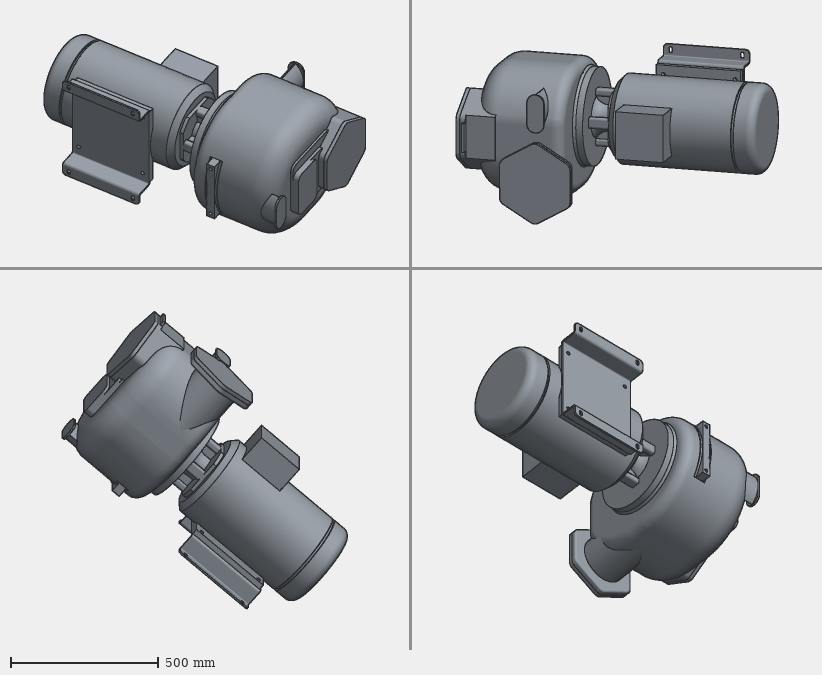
import cadquery as cq
import math


MOTOR_RADIUS = 156.0
MOTOR_LENGTH = 522.0
REAR_FILLET = 29.0
FRONT_CHAMFER = 21.0
GROOVE_START = 74.0
GROOVE_WIDTH = 9.0
GROOVE_DEPTH = 7.0
BOX_START = 298.0
BOX_LENGTH = 170.0
BOX_HEIGHT = 166.0
BOX_OUTER_Y = 233.0

BRACKET_START = 132.0
BRACKET_LENGTH = 305.0
PAD_SETBACK = 5.0
PAD_HEIGHT = 319.0
PAD_THICKNESS = 19.0
SHEET = 6.0
BEND_RADIUS = 4.0
PLATE_BACK_Y = -159.0
FOOT_Y = -230.0
WEB_Z = 171.0
LIP_Z = 213.0
LIP_CORNER_RADIUS = 15.0
HOLE_SPACING_X = 255.0
PLATE_HOLE_Z = 127.0
PLATE_HOLE_DIAMETER = 13.0
LIP_HOLE_Z = 193.0
SLOT_LENGTH = 20.0
SLOT_WIDTH = 12.0

COLLAR_LENGTH = 13.0
COLLAR_RADIUS = 116.0
COLLAR_HALF_WIDTH = 100.0
POST_WIDTH = 38.0
POST_DEPTH = 25.0
POST_FILLET = 8.0
WEB_THICKNESS = 22.0
HUB_RADIUS = 48.0
HUB_FLARE_RADIUS = 73.0
FLARE_LENGTH = 45.0
DISC_START = 604.0
DISC_THICKNESS = 24.0
DISC_RADIUS = 170.0
DISC_FLARE = 5.0

CASING_START = 638.0
CASING_END = 956.0
CASING_TOP = 200.0
CASING_BOTTOM = -251.0
CASING_FRONT = -225.0
CASING_BACK = 295.0
CASING_MID_Z = -15.0
TOP_FLAT_FRONT = -10.0
TOP_FLAT_BACK = 87.0
BOTTOM_FLAT_FRONT = 12.0
BACK_TOP_CORNER_RADIUS = 81.0
BACK_LOW_CORNER_RADIUS = 121.0
MOTOR_SIDE_FILLET = 37.0
FAR_SIDE_FILLET = 82.0

HEX_FLATS = 250.0
HEX_CORNER_RADIUS = 27.0
HEX_FLANGE = 19.0
GASKET_GAP = 0.5
COUNTER_FLANGE = 13.0
OUTLET_X = 723.0
OUTLET_Z = -165.0
OUTLET_RADIUS = OUTLET_X - CASING_START
OUTLET_FILLET = 7.0
OUTLET_END_Y = 335.0
SUCTION_Y = 182.0
SUCTION_Z = -26.0
SUCTION_END_X = 1011.0
NECK_BACK_Y = 299.0
TAB_END_Y = 323.0
TAB_HEIGHT = 101.0
TAB_THICKNESS = 9.0

PORT_WIDTH = 61.0
PORT_HEIGHT = 133.0
BACK_PORT_Z = 79.0
BACK_PORT_END_Y = 330.0
SIDE_PORT_Y = -184.0
SIDE_PORT_END_X = 977.0
PORT_LIP = 7.0

COVER_FRONT_Y = -90.0
COVER_BACK_Y = 94.0
COVER_LOW_Z = -115.0
COVER_TOP_Z = 67.0
COVER_END_X = 977.0
COVER_CORNER_RADIUS = 24.0
COVER_ROOT = 10.0
SEAT_BACK_Y = 150.0
SEAT_TOP_Z = 100.0
SEAT_END_X = 965.0
CLAMP_BACK_Y = 30.0
CLAMP_END_X = 988.0

FOOT_WIDTH = 31.0
FOOT_HEIGHT = 236.0
FOOT_MID_Z = -15.0
FOOT_SHOULDER = 8.0
FOOT_SHOULDER_RISE = 3.0
FOOT_DEPTH = 121.0
FOOT_HOLE_SPACING = 202.0
FOOT_HOLE_DIAMETER = 12.0
FOOT_HOLE_DEPTH = 15.0


def box(x0, x1, y0, y1, z0, z1):
    return cq.Workplane("XY").box(x1 - x0, y1 - y0, z1 - z0, centered=False).translate((x0, y0, z0))


def along_x(x):
    """Workplane at x whose local axes are Y and Z, with +X as its normal."""
    return cq.Workplane("YZ", origin=(x, 0, 0))


def along_y(y):
    """Workplane at y whose local axes are Z and X, with +Y as its normal."""
    return cq.Workplane("ZX", origin=(0, y, 0))


def make_motor():
    barrel = along_x(0).circle(MOTOR_RADIUS).extrude(MOTOR_LENGTH)
    barrel = barrel.faces("<X").edges().fillet(REAR_FILLET)
    barrel = barrel.faces(">X").edges().chamfer(FRONT_CHAMFER)
    groove = (
        along_x(GROOVE_START).circle(MOTOR_RADIUS + 10).circle(MOTOR_RADIUS - GROOVE_DEPTH).extrude(GROOVE_WIDTH)
    )
    half_box = BOX_HEIGHT / 2
    terminal_box = box(BOX_START, BOX_START + BOX_LENGTH, 0, BOX_OUTER_Y, -half_box, half_box)
    half_pad = PAD_HEIGHT / 2
    pad = box(
        BRACKET_START + PAD_SETBACK, BRACKET_START + BRACKET_LENGTH,
        PLATE_BACK_Y, PLATE_BACK_Y + PAD_THICKNESS, -half_pad, half_pad,
    )
    return barrel.cut(groove).union(terminal_box).union(pad)


def make_bracket():
    plate_y = PLATE_BACK_Y - SHEET
    web_inner = WEB_Z - SHEET
    lip_y = FOOT_Y + SHEET
    half_outline = [
        (PLATE_BACK_Y, 0), (PLATE_BACK_Y, WEB_Z), (lip_y, WEB_Z), (lip_y, LIP_Z),
        (FOOT_Y, LIP_Z), (FOOT_Y, web_inner), (plate_y, web_inner), (plate_y, 0),
    ]
    half = along_x(BRACKET_START).polyline(half_outline).close().extrude(BRACKET_LENGTH)

    def bend(part, y, z, radius):
        at = cq.selectors.BoxSelector((-10, y - 1.0, z - 1.0), (CASING_START, y + 1.0, z + 1.0))
        return part.edges(at).fillet(radius)

    for y, z in [(plate_y, web_inner), (lip_y, WEB_Z)]:
        half = bend(half, y, z, BEND_RADIUS)
    for y, z in [(PLATE_BACK_Y, WEB_Z), (FOOT_Y, web_inner)]:
        half = bend(half, y, z, BEND_RADIUS + SHEET)
    half = half.faces(">Z").edges("|Y").fillet(LIP_CORNER_RADIUS)
    return half.union(half.mirror("XY"))


def make_motor_unit():
    """Motor and its mounting bracket as one solid, with the bolt holes cut through bracket and pad."""
    unit = make_motor().union(make_bracket())
    plate_y = PLATE_BACK_Y - SHEET
    hole_depth = SHEET + PAD_THICKNESS
    mid_x = BRACKET_START + BRACKET_LENGTH / 2
    for x in (mid_x - HOLE_SPACING_X / 2, mid_x + HOLE_SPACING_X / 2):
        for side in (-1, 1):
            plate_hole = along_y(plate_y).center(side * PLATE_HOLE_Z, x).circle(PLATE_HOLE_DIAMETER / 2)
            slot = along_y(FOOT_Y).center(side * LIP_HOLE_Z, x).slot2D(SLOT_LENGTH, SLOT_WIDTH)
            unit = unit.cut(plate_hole.extrude(hole_depth)).cut(slot.extrude(SHEET))
    return unit


def hexagon(plane, u, v, angle, length):
    """Hexagonal prism with rounded corners, turned by `angle` about its own axis."""
    blank = plane.center(u, v).transformed(rotate=(0, 0, angle)).polygon(6, HEX_FLATS / math.cos(math.pi / 6))
    prism = blank.extrude(length)
    axis = "|X" if abs(plane.plane.zDir.x) > 0.5 else "|Y"
    return prism.edges(axis).fillet(HEX_CORNER_RADIUS)


def outlet_hexagon(y, length):
    return hexagon(along_y(y), OUTLET_Z, OUTLET_X, 0, length)


def suction_hexagon(x, length):
    return hexagon(along_x(x), SUCTION_Y, SUCTION_Z, 90, length)


def make_casing():
    front_top = CASING_TOP - CASING_MID_Z
    front_low = CASING_MID_Z - CASING_BOTTOM
    back_reach = CASING_BACK - TOP_FLAT_BACK
    top_rise = math.sqrt(front_top**2 - back_reach**2)
    low_drop = math.sqrt(front_low**2 - back_reach**2)
    c45 = math.sqrt(0.5)
    mid_x = (CASING_START + CASING_END) / 2
    outline = (
        along_x(CASING_START)
        .moveTo(TOP_FLAT_BACK, CASING_TOP)
        .lineTo(TOP_FLAT_FRONT, CASING_TOP)
        .threePointArc(
            (TOP_FLAT_FRONT - front_top * c45, CASING_MID_Z + front_top * c45),
            (CASING_FRONT, CASING_MID_Z),
        )
        .threePointArc(
            (BOTTOM_FLAT_FRONT - front_low * c45, CASING_MID_Z - front_low * c45),
            (BOTTOM_FLAT_FRONT, CASING_BOTTOM),
        )
        .lineTo(TOP_FLAT_BACK, CASING_BOTTOM)
        .threePointArc(
            (TOP_FLAT_BACK + front_low * c45, CASING_MID_Z - front_low * c45),
            (CASING_BACK, CASING_MID_Z - low_drop),
        )
        .lineTo(CASING_BACK, CASING_MID_Z + top_rise)
        .threePointArc(
            (TOP_FLAT_BACK + front_top * c45, CASING_MID_Z + front_top * c45),
            (TOP_FLAT_BACK, CASING_TOP),
        )
        .close()
    )
    casing = outline.extrude(CASING_END - CASING_START)
    for z, radius in (
        (CASING_MID_Z + top_rise, BACK_TOP_CORNER_RADIUS),
        (CASING_MID_Z - low_drop, BACK_LOW_CORNER_RADIUS),
    ):
        casing = casing.edges(cq.selectors.NearestToPointSelector((mid_x, CASING_BACK, z))).fillet(radius)
    casing = casing.faces("<X").edges().fillet(MOTOR_SIDE_FILLET)
    return casing.faces(">X").edges().fillet(FAR_SIDE_FILLET)


def make_lantern():
    side = 2 * COLLAR_HALF_WIDTH
    collar = along_x(MOTOR_LENGTH).circle(COLLAR_RADIUS).extrude(COLLAR_LENGTH)
    collar = collar.intersect(along_x(MOTOR_LENGTH).rect(side, side).extrude(COLLAR_LENGTH))
    length = DISC_START - MOTOR_LENGTH
    hub = (
        cq.Workplane("XY")
        .moveTo(MOTOR_LENGTH, 0)
        .lineTo(MOTOR_LENGTH, HUB_RADIUS)
        .lineTo(DISC_START - FLARE_LENGTH, HUB_RADIUS)
        .tangentArcPoint((DISC_START, HUB_FLARE_RADIUS), relative=False)
        .lineTo(DISC_START, 0)
        .close()
        .revolve(360, (0, 0, 0), (1, 0, 0))
    )
    disc_end = DISC_START + DISC_THICKNESS
    disc = along_x(DISC_START).circle(DISC_RADIUS).extrude(CASING_START - DISC_START)
    flare = (
        along_x(disc_end)
        .circle(DISC_RADIUS)
        .workplane(offset=CASING_START - disc_end)
        .circle(DISC_RADIUS + DISC_FLARE)
        .loft()
    )
    lantern = collar.union(hub).union(disc).union(flare)
    post = along_x(MOTOR_LENGTH).center(0, COLLAR_HALF_WIDTH - POST_DEPTH / 2).rect(POST_WIDTH, POST_DEPTH)
    post = post.extrude(length).edges("|X").fillet(POST_FILLET)
    web = along_x(MOTOR_LENGTH).center(0, COLLAR_HALF_WIDTH / 2).rect(WEB_THICKNESS, COLLAR_HALF_WIDTH - POST_DEPTH)
    rib = post.union(web.extrude(length))
    for turn in range(4):
        lantern = lantern.union(rib.rotate((0, 0, 0), (1, 0, 0), 90 * turn))
    return lantern


def make_outlet():
    flange_end = OUTLET_END_Y - COUNTER_FLANGE - GASKET_GAP
    flange = outlet_hexagon(flange_end - HEX_FLANGE, HEX_FLANGE)
    pipe = along_y(TOP_FLAT_BACK).center(OUTLET_Z, OUTLET_X).circle(OUTLET_RADIUS).extrude(flange_end - TOP_FLAT_BACK)
    corner = cq.selectors.NearestToPointSelector((OUTLET_X, flange_end - HEX_FLANGE, OUTLET_Z + OUTLET_RADIUS))
    return flange.union(pipe).edges("%CIRCLE").edges(corner).fillet(OUTLET_FILLET)


def make_suction():
    flange_end = SUCTION_END_X - COUNTER_FLANGE - GASKET_GAP
    flange_start = flange_end - HEX_FLANGE
    neck_start = CASING_END - FAR_SIDE_FILLET
    neck = suction_hexagon(neck_start, flange_start - neck_start)
    neck = neck.intersect(box(0, SUCTION_END_X, 0, NECK_BACK_Y, 2 * CASING_BOTTOM, CASING_TOP))
    flange = suction_hexagon(flange_start, HEX_FLANGE)
    half_tab = TAB_HEIGHT / 2
    tab = box(
        flange_start, flange_start + TAB_THICKNESS, SUCTION_Y, TAB_END_Y, SUCTION_Z - half_tab, SUCTION_Z + half_tab
    )
    return neck.union(flange).union(tab)


def lens_port(length):
    """Upright port along +X with a lens-shaped neck, ending at x = 0 in a lip with round ends."""
    lip = along_x(-PORT_LIP).slot2D(PORT_HEIGHT, PORT_WIDTH, 90).extrude(PORT_LIP)
    half_width = PORT_WIDTH / 2
    half_height = PORT_HEIGHT / 2
    neck = (
        along_x(-length)
        .moveTo(0, -half_height)
        .threePointArc((half_width, 0), (0, half_height))
        .threePointArc((-half_width, 0), (0, -half_height))
        .close()
        .extrude(length)
    )
    return neck.union(lip)


def make_cover():
    """Seat, cover and clamp stacked on the far face of the casing, sharing their front lower corner."""
    cover = None
    for end_x, back_y, top_z in (
        (SEAT_END_X, SEAT_BACK_Y, SEAT_TOP_Z),
        (COVER_END_X, COVER_BACK_Y, COVER_TOP_Z),
        (CLAMP_END_X, CLAMP_BACK_Y, COVER_TOP_Z),
    ):
        layer = box(CASING_END - COVER_ROOT, end_x, COVER_FRONT_Y, back_y, COVER_LOW_Z, top_z)
        layer = layer.edges("|X").fillet(COVER_CORNER_RADIUS)
        cover = layer if cover is None else cover.union(layer)
    return cover


def make_foot():
    """Narrow upright foot on a wider shoulder that follows the curve of the casing."""
    half_height = FOOT_HEIGHT / 2

    def bar(width):
        x0 = OUTLET_X - width / 2
        z0 = FOOT_MID_Z - half_height
        return box(x0, x0 + width, FOOT_Y, FOOT_Y + FOOT_DEPTH, z0, z0 + FOOT_HEIGHT)

    shoulder_radius = CASING_TOP - CASING_MID_Z + FOOT_SHOULDER_RISE
    limit = along_x(CASING_START).center(TOP_FLAT_FRONT, CASING_MID_Z).circle(shoulder_radius)
    limit = limit.extrude(CASING_END - CASING_START)
    return bar(FOOT_WIDTH).union(bar(FOOT_WIDTH + 2 * FOOT_SHOULDER).intersect(limit))


def make_pump():
    pump = make_casing()
    back_port = lens_port(BACK_PORT_END_Y - TOP_FLAT_BACK).rotate((0, 0, 0), (0, 0, 1), 90)
    pump = pump.union(back_port.translate((OUTLET_X, BACK_PORT_END_Y, BACK_PORT_Z)))
    side_port = lens_port(SIDE_PORT_END_X - OUTLET_X)
    pump = pump.union(side_port.translate((SIDE_PORT_END_X, SIDE_PORT_Y, SUCTION_Z)))
    for part in (make_lantern(), make_outlet(), make_suction(), make_cover()):
        pump = pump.union(part)
    pump = pump.union(make_foot())
    for z in (FOOT_MID_Z - FOOT_HOLE_SPACING / 2, FOOT_MID_Z + FOOT_HOLE_SPACING / 2):
        hole = along_y(FOOT_Y).center(z, OUTLET_X).circle(FOOT_HOLE_DIAMETER / 2).extrude(FOOT_HOLE_DEPTH)
        pump = pump.cut(hole)
    return pump


motor_unit = make_motor_unit()
pump = make_pump()
outlet_flange = outlet_hexagon(OUTLET_END_Y - COUNTER_FLANGE, COUNTER_FLANGE)
suction_flange = suction_hexagon(SUCTION_END_X - COUNTER_FLANGE, COUNTER_FLANGE)

result = cq.Compound.makeCompound(
    [motor_unit.val(), pump.val(), outlet_flange.val(), suction_flange.val()]
)